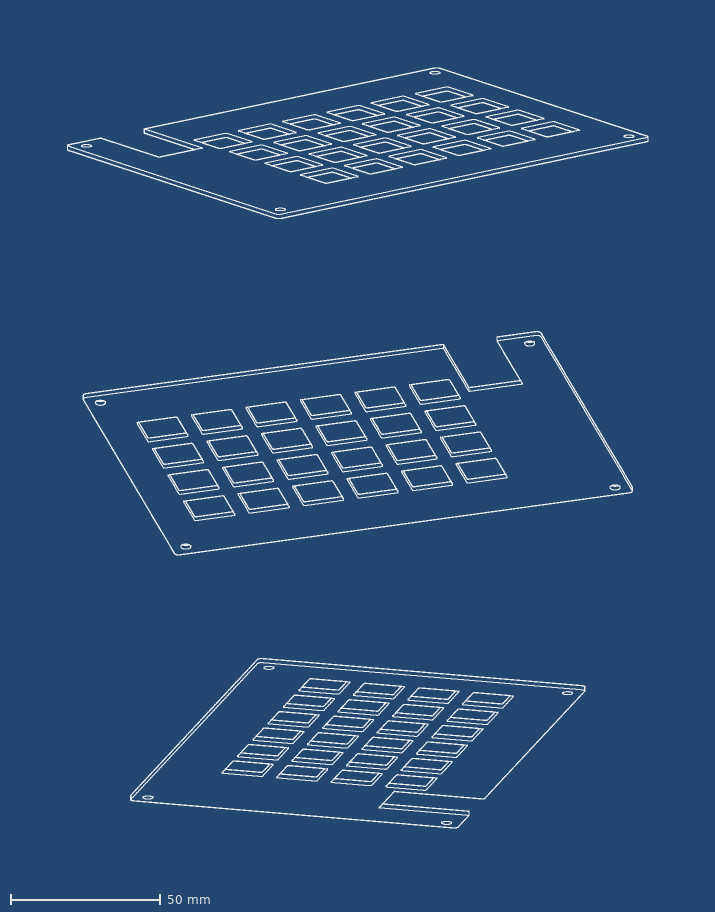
import cadquery as cq

plate_width = 114.0
plate_length = 159.7
plate_thickness = 1.5
plate_corner_radius = 1.5

mount_hole_diameter = 3.4
mount_hole_inset = 5.0

window_columns = 4
window_rows = 6
window_size = 14.0
window_pitch = 19.0
window_corner_radius = 0.5
window_grid_center_y = 12.5

notch_depth = 31.3
notch_height = 18.7
notch_above_bottom_edge = 15.0


def make_plate():
    """Flat plate with rounded corners."""
    plate = cq.Workplane("XY").box(plate_width, plate_length, plate_thickness)
    return plate.edges("|Z").fillet(plate_corner_radius)


def make_mount_holes():
    """Cylinders that cut the four corner holes."""
    spacing_x = plate_width - 2 * mount_hole_inset
    spacing_y = plate_length - 2 * mount_hole_inset
    return (
        cq.Workplane("XY")
        .rarray(spacing_x, spacing_y, 2, 2)
        .circle(mount_hole_diameter / 2)
        .extrude(plate_thickness, both=True)
    )


def make_windows():
    """Square prisms with rounded corners that cut the key windows."""
    return (
        cq.Workplane("XY")
        .center(0, window_grid_center_y)
        .rarray(window_pitch, window_pitch, window_columns, window_rows)
        .rect(window_size, window_size)
        .extrude(plate_thickness, both=True)
        .edges("|Z")
        .fillet(window_corner_radius)
    )


def make_notch():
    """Block that cuts the notch, reaching in from the -X edge."""
    center_x = (notch_depth - plate_width) / 2
    center_y = -plate_length / 2 + notch_above_bottom_edge + notch_height / 2
    return (
        cq.Workplane("XY")
        .center(center_x, center_y)
        .rect(notch_depth, notch_height)
        .extrude(plate_thickness, both=True)
    )


result = make_plate().cut(make_mount_holes()).cut(make_windows()).cut(make_notch())